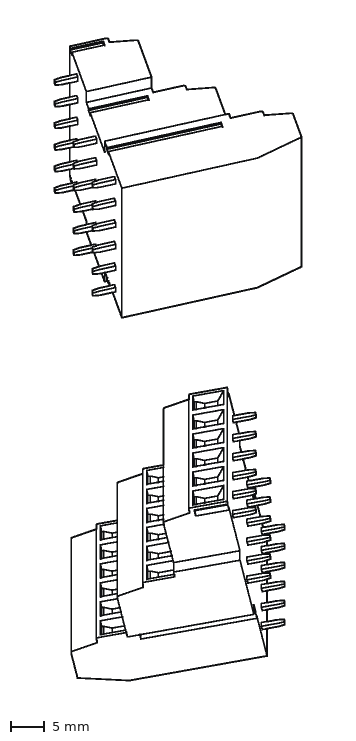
import cadquery as cq

tier_count = 3
middle_tier = 1
pole_count = 6
pole_pitch = 5.08
row_height = pole_count * pole_pitch
stagger = pole_pitch / 2

length = 28.1
tier_step_x = 9.83
tier_step_y = 9.1
lead_in = 0.85
ledge_y = 5.88
ledge_depth = 0.85
first_top_y = 10.05
slope_run = 0.77
edge_radius = 0.33
rear_shoulder_y = 20.85
rear_slope_run = 2.05

entry_low_y = 0.53
entry_high_y = 5.2
entry_floor_low_y = 1.73
entry_floor_high_y = 3.72
entry_shelf_y = 4.88
entry_shelf_depth = 0.9
entry_depth = 1.36
entry_mouth_height = 3.7
entry_floor_height = 2.86

dovetail_x = 0.81
dovetail_lengths = [5.05, 9.05, 17.55]
groove_mouth = 0.77
groove_floor = 1.05
groove_depth = 0.55
tongue_root = 0.6
tongue_tip = 0.95
tongue_depth = 0.45
tongue_tiers = [0, 2]

pin_first_x = 4.06
pin_pitch_x = 10.16
pin_thickness = 0.6
pin_width = 1.0
pin_length = 3.45
pin_tip_length = 1.0
pin_tip_width = 0.7
pin_tip_thickness = 0.5
pin_root = 1.0


def tier_front(tier):
    return tier * tier_step_x


def tier_bottom(tier):
    return 0 if tier == middle_tier else stagger


def tier_top_y(tier):
    return first_top_y + tier * tier_step_y


def tier_body(tier):
    front = tier_front(tier)
    top = tier_top_y(tier)
    ledge = ledge_y + tier * tier_step_y
    last = tier == tier_count - 1
    back = length if last else tier_front(tier + 1) - lead_in

    outline = cq.Workplane("XY", origin=(0, 0, tier_bottom(tier)))
    if tier == 0:
        outline = outline.moveTo(front, 0)
    else:
        outline = outline.moveTo(front - lead_in, 0)
        outline = outline.lineTo(front - lead_in, tier_top_y(tier - 1))
        outline = outline.lineTo(front, tier_top_y(tier - 1))
    outline = outline.lineTo(front, ledge)
    outline = outline.lineTo(front + ledge_depth, ledge)
    outline = outline.lineTo(front + ledge_depth + slope_run, top)
    if last:
        outline = outline.lineTo(back - rear_slope_run, top)
        outline = outline.lineTo(back, rear_shoulder_y)
    else:
        outline = outline.lineTo(back, top)
    block = outline.lineTo(back, 0).close().extrude(row_height)

    middle_z = tier_bottom(tier) + row_height / 2
    for x, y in [(front, ledge), (front + ledge_depth + slope_run, top)]:
        corner = cq.selectors.NearestToPointSelector((x, y, middle_z))
        block = block.edges("|Z").edges(corner).fillet(edge_radius)
    return block


def wire_entry(tier, center_z):
    """Funnel: plan outline with a shelf near its upper wall, narrowing in Z with depth."""
    front = tier_front(tier)
    base = tier * tier_step_y
    if tier == 0:
        low_mouth = entry_low_y
        low_floor = entry_floor_low_y
    else:
        low_mouth = tier_top_y(tier - 1)
        low_floor = low_mouth
    plan = (
        cq.Workplane("XY", origin=(front, 0, center_z))
        .moveTo(0, low_mouth)
        .lineTo(entry_depth, low_floor)
        .lineTo(entry_depth, base + entry_floor_high_y)
        .lineTo(entry_shelf_depth, base + entry_shelf_y)
        .lineTo(entry_shelf_depth, base + entry_high_y)
        .lineTo(0, base + entry_high_y)
        .close()
        .extrude(entry_mouth_height / 2, both=True)
    )
    side_taper = (
        cq.Workplane("XZ", origin=(front, 0, center_z))
        .moveTo(0, -entry_mouth_height / 2)
        .lineTo(entry_depth, -entry_floor_height / 2)
        .lineTo(entry_depth, entry_floor_height / 2)
        .lineTo(0, entry_mouth_height / 2)
        .close()
        .extrude(-tier_top_y(tier))
    )
    return plan.intersect(side_taper)


def dovetail(tier, z, near_width, far_width, depth):
    """Dovetail bar from height z down by depth, near_width at the top."""
    return (
        cq.Workplane("XZ", origin=(tier_front(tier) + dovetail_x, 0, z))
        .moveTo(-near_width / 2, 0)
        .lineTo(near_width / 2, 0)
        .lineTo(far_width / 2, -depth)
        .lineTo(-far_width / 2, -depth)
        .close()
        .extrude(-dovetail_lengths[tier])
    )


def pin(tier, center_z):
    center_x = pin_first_x + tier * pin_pitch_x
    shank_end = pin_tip_length - pin_length
    shank = (
        cq.Workplane("XZ", origin=(center_x, shank_end, center_z))
        .rect(pin_thickness, pin_width)
        .extrude(shank_end - pin_root)
    )
    tip = (
        cq.Workplane("XZ", origin=(center_x, shank_end, center_z))
        .rect(pin_thickness, pin_width)
        .workplane(offset=pin_tip_length)
        .rect(pin_tip_thickness, pin_tip_width)
        .loft(ruled=True)
    )
    return shank.union(tip)


def pole_centers(tier):
    return [tier_bottom(tier) + (pole + 0.5) * pole_pitch for pole in range(pole_count)]


result = tier_body(0)
for tier in range(1, tier_count):
    result = result.union(tier_body(tier))

for tier in range(tier_count):
    tier_top_z = tier_bottom(tier) + row_height
    result = result.cut(dovetail(tier, tier_top_z, groove_mouth, groove_floor, groove_depth))
    for center_z in pole_centers(tier):
        result = result.cut(wire_entry(tier, center_z))
        result = result.union(pin(tier, center_z))

for tier in tongue_tiers:
    result = result.union(dovetail(tier, tier_bottom(tier), tongue_root, tongue_tip, tongue_depth))